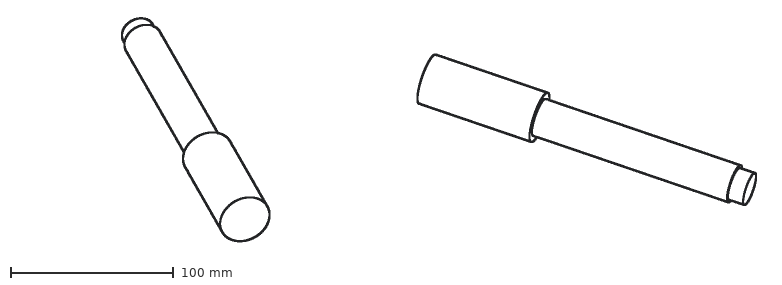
import cadquery as cq

total_length = 215.0
tip_length = 10.0
shank_length = 130.0
head_length = total_length - tip_length - shank_length

tip_diameter = 20.9
shank_diameter = 24.0
head_diameter = 32.0


def cylinder_along_x(start, length, diameter):
    """Solid cylinder on the X axis, running from start towards +X."""
    return cq.Workplane("YZ", origin=(start, 0, 0)).circle(diameter / 2).extrude(length)


tip_start = -total_length / 2
shank_start = tip_start + tip_length
head_start = shank_start + shank_length

tip = cylinder_along_x(tip_start, tip_length, tip_diameter)
shank = cylinder_along_x(shank_start, shank_length, shank_diameter)
head = cylinder_along_x(head_start, head_length, head_diameter)

result = tip.union(shank).union(head)